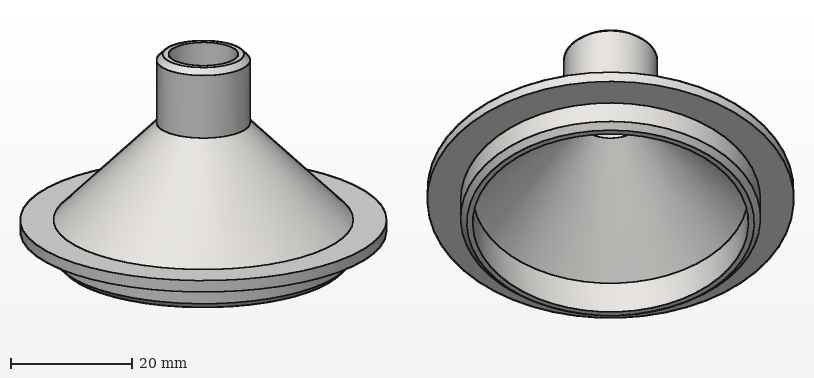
import cadquery as cq
import math

flange_diameter = 60.5
body_diameter = 49.5
neck_diameter = 15.5
bore_diameter = 11.5
cavity_diameter = 45.5
total_height = 36.0
flange_bottom = 5.0
flange_thickness = 2.0
edge_chamfer = 1.0

body_radius = body_diameter / 2
neck_radius = neck_diameter / 2
bore_radius = bore_diameter / 2
cavity_radius = cavity_diameter / 2
flange_top = flange_bottom + flange_thickness
cone_top = flange_top + body_radius - neck_radius
wall = body_radius - cavity_radius
inner_cone_drop = wall * math.sqrt(2)
inner_cone_bottom = cone_top + neck_radius - cavity_radius - inner_cone_drop
inner_cone_top = cone_top + neck_radius - bore_radius - inner_cone_drop


def make_funnel():
    """Hollow spigot, cone and neck, revolved about Z from half of the wall section."""
    return (
        cq.Workplane("XZ")
        .moveTo(cavity_radius, 0)
        .lineTo(body_radius - edge_chamfer, 0)
        .lineTo(body_radius, edge_chamfer)
        .lineTo(body_radius, flange_top)
        .lineTo(neck_radius, cone_top)
        .lineTo(neck_radius, total_height - edge_chamfer)
        .lineTo(neck_radius - edge_chamfer, total_height)
        .lineTo(bore_radius, total_height)
        .lineTo(bore_radius, inner_cone_top)
        .lineTo(cavity_radius, inner_cone_bottom)
        .close()
        .revolve(360, (0, 0, 0), (0, 1, 0))
    )


def make_flange():
    """Flat ring that fits closely around the top of the spigot."""
    return (
        cq.Workplane("XY")
        .workplane(offset=flange_bottom)
        .circle(flange_diameter / 2)
        .circle(body_radius)
        .extrude(flange_thickness)
    )


funnel = make_funnel()
flange = make_flange()

result = cq.Compound.makeCompound([funnel.val(), flange.val()])